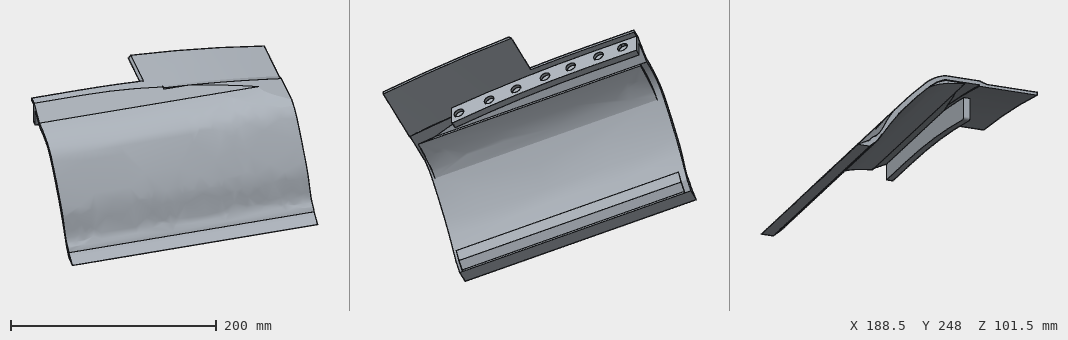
import cadquery as cq

length = 248.0
height = 101.5
toe_x = 188.5

fall_start_y = 49.5
plate_rear_z = 84.0
ridge_rear_z = 86.5
plate_thickness = 3.2
ridge_thickness = 4.2

plate_front_y = 110.4
plate_edge_slope = 2.7
lip_x = 44.6
step_x = 60.5
ridge_end_x = 104.2
ramp_front_y = 129.0
ramp_front_x = 57.0
ramp_rear_x = 53.0
ramp_stations = 7

flange_x = 50.3
flange_thickness = 6.7
flange_end_y = 198.5
flange_depth = 24.0
flange_rear_z = 80.4
flange_corner_radius = 2.5
hole_diameter = 10.2
hole_depth = 3.2
hole_centers = [
    (15.0, 89.3), (40.7, 88.8), (70.5, 87.3), (98.0, 86.0),
    (129.2, 83.3), (158.0, 80.8), (190.2, 77.5),
]

flange_inner_x = flange_x + flange_thickness
slope_top = (53.8, height)
slope_foot = (72.2, 90.3)
outer_curve = [(95.2, 87.0), (108.0, 82.3), (120.8, 72.5), (143.8, 48.9), (155.2, 34.5), (169.5, 12.2), (175.8, 6.7)]
toe_top = (179.3, 4.7)
toe_heel = (175.8, 0.0)
inner_curve = [(153.8, 27.5), (145.0, 39.0), (128.0, 58.0), (113.0, 72.5), (104.5, 78.9), (93.7, 83.0), (74.5, 85.3)]
inner_heel = (167.5, 7.5)
inner_slope_top = (flange_inner_x, 94.0)

front_rim = 6.7
rear_rim = 3.0
crest_curve = [(74.5, 82.8), (91.8, 80.4), (104.2, 77.0), (113.0, 72.5)]
crest_core = [(110.4, 78.0), (94.2, 84.3), (74.5, 86.8)]
relief_start = (161.7, 16.4)
relief_middle = (168.5, 8.0)
relief_end_z = 2.5


def arc_radius(rear_z):
    run = length - fall_start_y
    drop = height - rear_z
    return (run**2 + drop**2) / (2 * drop)


def surface_z(y, rear_z):
    """Height of a falling upper face at a position along the length."""
    radius = arc_radius(rear_z)
    run = max(y - fall_start_y, 0)
    return height - radius + (radius**2 - run**2) ** 0.5


def curved_slab(x_min, x_max, rear_z, depth, end_y=length):
    """Slab under a falling upper face, of constant vertical depth."""
    middle_y = (fall_start_y + end_y) / 2
    middle_z = surface_z(middle_y, rear_z)
    end_z = surface_z(end_y, rear_z)
    return (
        cq.Workplane("YZ", origin=(x_min, 0, 0))
        .moveTo(0, height)
        .lineTo(fall_start_y, height)
        .threePointArc((middle_y, middle_z), (end_y, end_z))
        .lineTo(end_y, end_z - depth)
        .threePointArc((middle_y, middle_z - depth), (fall_start_y, height - depth))
        .lineTo(0, height - depth)
        .close()
        .extrude(x_max - x_min)
    )


def along_length(start_y, end_y):
    """XZ sketch plane at start_y, with the distance that reaches end_y."""
    return cq.Workplane("XZ", origin=(0, start_y, 0)), start_y - end_y


def outer_path(sketch):
    return (
        sketch.lineTo(*slope_top)
        .lineTo(*slope_foot)
        .spline(outer_curve, tangents=[(1, 0), (0.55, -0.83)], includeCurrent=True)
        .lineTo(*toe_top)
        .lineTo(toe_x, 0)
    )


def make_shell():
    sketch, distance = along_length(0, length)
    return (
        outer_path(sketch.moveTo(flange_x, height))
        .lineTo(*toe_heel)
        .lineTo(*inner_heel)
        .spline(inner_curve, includeCurrent=True)
        .lineTo(*inner_slope_top)
        .lineTo(flange_x, inner_slope_top[1])
        .close()
        .extrude(distance)
    )


def make_crest():
    sketch, distance = along_length(front_rim, length - rear_rim)
    return (
        sketch.moveTo(*crest_curve[0])
        .spline(crest_curve[1:], includeCurrent=True)
        .lineTo(*crest_core[0])
        .spline(crest_core[1:], includeCurrent=True)
        .close()
        .extrude(distance)
    )


def make_toe_relief():
    sketch, distance = along_length(front_rim, length - rear_rim)
    corners = [relief_start, relief_middle, (toe_heel[0], relief_end_z), toe_heel, inner_heel]
    return sketch.polyline(corners).close().extrude(distance)


def make_envelope():
    """Everything below the shell's outer face and the falling upper faces."""
    sketch, distance = along_length(0, length)
    below_shell = outer_path(sketch.moveTo(0, height)).lineTo(0, 0).close().extrude(distance)
    below_plate = curved_slab(0, step_x, plate_rear_z, height)
    below_ridge = curved_slab(step_x, toe_x, ridge_rear_z, height)
    return below_shell.intersect(below_plate.union(below_ridge))


def make_ridge():
    return curved_slab(step_x, ridge_end_x, ridge_rear_z, ridge_thickness)


def make_plate():
    """Full-width plate at the rear, narrowing to the lip at the front."""
    slab = curved_slab(0, step_x, plate_rear_z, plate_thickness)
    edge_top = surface_z(plate_front_y, plate_rear_z)
    notch = (
        cq.Workplane("YZ")
        .polyline([
            (0, edge_top - plate_thickness),
            (plate_front_y, edge_top - plate_thickness),
            (plate_front_y + plate_edge_slope, edge_top),
            (plate_front_y + plate_edge_slope, height),
            (0, height),
        ])
        .close()
        .extrude(lip_x)
    )
    return slab.cut(notch)


def make_ramp():
    """Widening ramp from the plate up to the ridge."""
    sections = []
    for station in range(ramp_stations):
        fraction = station / (ramp_stations - 1)
        y = ramp_front_y + fraction * (length - ramp_front_y)
        x = ramp_front_x + fraction * (ramp_rear_x - ramp_front_x)
        plate_z = surface_z(y, plate_rear_z)
        base_z = plate_z - plate_thickness / 2
        corners = [(x, base_z), (x, plate_z), (step_x, surface_z(y, ridge_rear_z)), (step_x, base_z)]
        points = [cq.Vector(corner_x, y, corner_z) for corner_x, corner_z in corners]
        sections.append(cq.Wire.makePolygon(points, close=True))
    return cq.Workplane(obj=cq.Solid.makeLoft(sections, True))


def make_flange():
    flange = curved_slab(flange_x, flange_inner_x, flange_rear_z, flange_depth, flange_end_y)
    flange = flange.edges("|X").edges(">Y").edges("<Z").fillet(flange_corner_radius)
    holes = (
        cq.Workplane("YZ", origin=(flange_x, 0, 0))
        .pushPoints(hole_centers)
        .circle(hole_diameter / 2)
        .extrude(hole_depth)
    )
    return flange.cut(holes)


envelope = make_envelope()
result = make_shell().union(make_crest()).cut(make_toe_relief()).intersect(envelope)
for feature in (make_ridge(), make_plate(), make_flange()):
    result = result.union(feature.intersect(envelope))
result = result.union(make_ramp())